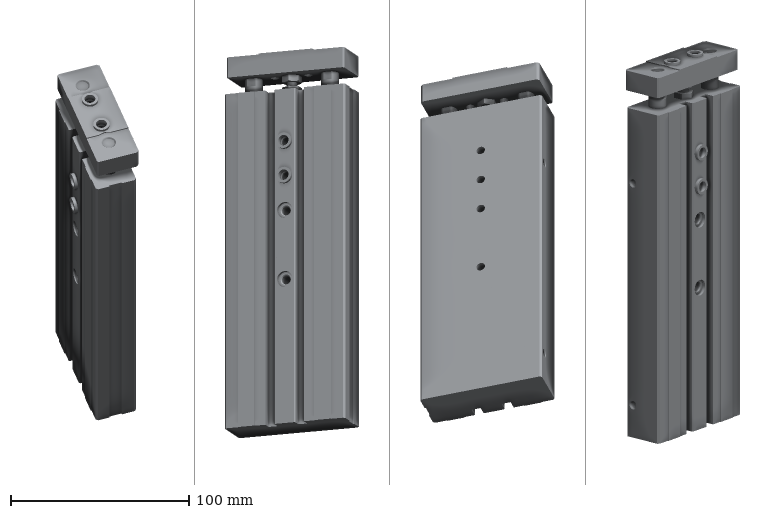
import cadquery as cq
import math


housing_width = 72.0
housing_depth = 23.8
housing_height = 193.2
side_x = housing_width / 2
back_y = housing_depth / 2
front_y = -housing_depth / 2
back_chamfer = 1.0
front_chamfer = 1.0

slot_inner_x = 6.3
slot_outer_x = 11.5
slot_depth = 5.5
strip_chamfer = 0.7

pad_width = 10.0
pad_height = 0.5

side_groove_width = 7.4
side_groove_depth = 0.7
side_groove_y = -0.5

first_mount_hole_z = 163.0
hole_pitch = 20.0
mount_hole_z = [first_mount_hole_z - step * hole_pitch for step in (0, 1, 2, 4)]
sleeved_hole_count = 2

port_z = (149.5, 19.0)
port_y = 7.0
port_diameter = 4.1
port_mouth_diameter = 5.0
port_depth = 3.3
port_tip_depth = 1.3

thread_diameter = 5.0
thread_mouth_diameter = 6.0
thread_mouth_chamfer = (thread_mouth_diameter - thread_diameter) / 2
sleeve_diameter = 9.0
sleeve_bore = 6.0
sleeve_length = 4.0
front_sleeve_protrusion = 2.0
top_sleeve_protrusion = 1.5
front_seat_depth = sleeve_length - front_sleeve_protrusion
top_seat_depth = sleeve_length - top_sleeve_protrusion

plate_width = 70.0
plate_back_y = 13.9
plate_front_y = -10.8
plate_bottom_z = 203.0
plate_top_z = 214.6
raised_top_z = 215.3
raised_width = 32.3
plate_back_chamfer = 1.3
plate_front_chamfer = 0.9
plate_sleeve_x = hole_pitch / 2

rod_x = 22.8
rod_diameter = 10.0
rod_insertion = 173.5
flat_spacing = 8.7
flat_bottom_z = 198.4
head_diameter = 15.0
head_height = 6.0
recess_diameter = 8.0
recess_floor_diameter = 6.7
recess_depth = 0.7

nut_flats = 10.0
nut_corners = nut_flats / math.cos(math.pi / 6)
screw_diameter = 6.0
upper_nut_height = 3.7
lower_nut_height = 3.3
nut_bevel = 0.7


def cylinder(diameter, height, x=0, y=0, z=0):
    """Vertical cylinder standing on height z."""
    return cq.Workplane("XY", origin=(x, y, z)).circle(diameter / 2).extrude(height)


def block(x_range, y_range, z_range):
    """Box between the given limits on each axis."""
    size = [high - low for low, high in (x_range, y_range, z_range)]
    low_corner = (x_range[0], y_range[0], z_range[0])
    return cq.Workplane("XY").box(*size, centered=False).translate(low_corner)


def sleeve_seat(seat_depth, thread_length):
    """Cutter along -Z from the origin: sleeve seat, countersunk mouth and thread bore."""
    return (
        cq.Workplane("XZ")
        .moveTo(0, 0)
        .lineTo(sleeve_diameter / 2, 0)
        .lineTo(sleeve_diameter / 2, -seat_depth)
        .lineTo(thread_mouth_diameter / 2, -seat_depth)
        .lineTo(thread_diameter / 2, -seat_depth - thread_mouth_chamfer)
        .lineTo(thread_diameter / 2, -thread_length)
        .lineTo(0, -thread_length)
        .close()
        .revolve(360, (0, 0), (0, 1))
    )


def facing_front(shape, z):
    """Turn a shape built along +Z so that it points to -Y on the housing's front face."""
    return shape.rotate((0, 0, 0), (1, 0, 0), 90).translate((0, front_y, z))


def housing_profile():
    half = [
        (slot_inner_x - strip_chamfer, front_y),
        (slot_inner_x, front_y + strip_chamfer),
        (slot_inner_x, front_y + slot_depth),
        (slot_outer_x, front_y + slot_depth),
        (slot_outer_x, front_y),
        (rod_x - pad_width / 2, front_y),
        (rod_x - pad_width / 2, front_y - pad_height),
        (rod_x + pad_width / 2, front_y - pad_height),
        (rod_x + pad_width / 2, front_y),
        (side_x - front_chamfer, front_y),
        (side_x, front_y + front_chamfer),
        (side_x, back_y - back_chamfer),
        (side_x - back_chamfer, back_y),
    ]
    mirrored = [(-x, y) for x, y in reversed(half)]
    return half + mirrored


def port_cutter(z):
    """Blind side port with a countersunk mouth and a conical bottom."""
    mouth_chamfer = (port_mouth_diameter - port_diameter) / 2
    return (
        cq.Workplane("XY", origin=(-side_x, port_y, z))
        .moveTo(0, 0)
        .lineTo(0, port_mouth_diameter / 2)
        .lineTo(mouth_chamfer, port_diameter / 2)
        .lineTo(port_depth, port_diameter / 2)
        .lineTo(port_depth + port_tip_depth, 0)
        .close()
        .revolve(360, (0, 0), (1, 0))
    )


def make_housing():
    body = cq.Workplane("XY").polyline(housing_profile()).close().extrude(housing_height)
    groove_y = (side_groove_y - side_groove_width / 2, side_groove_y + side_groove_width / 2)
    body = body.cut(block((side_x - side_groove_depth, side_x), groove_y, (0, housing_height)))
    for z in mount_hole_z:
        body = body.cut(facing_front(sleeve_seat(front_seat_depth, housing_depth), z))
    for z in port_z:
        body = body.cut(port_cutter(z))
    for x in (-rod_x, rod_x):
        body = body.cut(cylinder(rod_diameter, rod_insertion, x, 0, housing_height - rod_insertion))
    return body


def make_nut(bottom_z, height):
    """Hexagon with its corners towards +Y and -Y."""
    hexagon = cq.Workplane("XY", origin=(0, 0, bottom_z)).polygon(6, nut_corners).extrude(height)
    return hexagon.rotate((0, 0, 0), (0, 0, 1), 90)


def make_stop_screw():
    screw = cylinder(screw_diameter, plate_bottom_z - housing_height, 0, 0, housing_height)
    upper_bottom_z = plate_bottom_z - upper_nut_height
    bevel_cone = cylinder(nut_corners, upper_nut_height, 0, 0, upper_bottom_z).faces("<Z").chamfer(nut_bevel)
    upper_nut = make_nut(upper_bottom_z, upper_nut_height).intersect(bevel_cone)
    lower_nut = make_nut(housing_height, lower_nut_height)
    return screw.union(upper_nut).union(lower_nut)


def make_plate():
    """Yoke plate with its stop screw."""
    half_width = plate_width / 2
    y_range = (plate_front_y, plate_back_y)
    plate = block((-half_width, half_width), y_range, (plate_bottom_z, plate_top_z))
    plate = plate.edges("|Z and >Y").chamfer(plate_back_chamfer)
    plate = plate.edges("|Z and <Y").chamfer(plate_front_chamfer)
    plate = plate.union(block((-raised_width / 2, raised_width / 2), y_range, (plate_top_z, raised_top_z)))
    for x in (-plate_sleeve_x, plate_sleeve_x):
        seat = sleeve_seat(top_seat_depth, raised_top_z - plate_bottom_z)
        plate = plate.cut(seat.translate((x, 0, raised_top_z)))
    for x in (-rod_x, rod_x):
        plate = plate.cut(cylinder(rod_diameter, plate_top_z - plate_bottom_z, x, 0, plate_bottom_z))
        head_bottom_z = plate_top_z - head_height
        plate = plate.cut(cylinder(head_diameter, raised_top_z - head_bottom_z, x, 0, head_bottom_z))
    return plate.union(make_stop_screw())


def make_rod(x):
    """Guide rod with two wrench flats below the plate and a head inside it with a tapered recess."""
    bottom_z = housing_height - rod_insertion
    rod = cylinder(rod_diameter, plate_top_z - bottom_z, x, 0, bottom_z)
    radius = rod_diameter / 2
    for y_range in ((-radius, -flat_spacing / 2), (flat_spacing / 2, radius)):
        rod = rod.cut(block((x - radius, x + radius), y_range, (flat_bottom_z, plate_bottom_z)))
    rod = rod.union(cylinder(head_diameter, head_height, x, 0, plate_top_z - head_height))
    recess_floor = cq.Workplane("XY", origin=(x, 0, plate_top_z - recess_depth))
    recess = (
        recess_floor.circle(recess_floor_diameter / 2)
        .workplane(offset=recess_depth)
        .circle(recess_diameter / 2)
        .loft(ruled=True)
    )
    return rod.cut(recess)


def make_sleeve():
    """Centring sleeve standing on Z = 0."""
    return cylinder(sleeve_diameter, sleeve_length).cut(cylinder(sleeve_bore, sleeve_length))


housing = make_housing()
plate = make_plate()
rods = [make_rod(x) for x in (-rod_x, rod_x)]
front_sleeves = [
    facing_front(make_sleeve().translate((0, 0, -front_seat_depth)), z)
    for z in mount_hole_z[:sleeved_hole_count]
]
top_sleeves = [
    make_sleeve().translate((x, 0, raised_top_z - top_seat_depth))
    for x in (-plate_sleeve_x, plate_sleeve_x)
]

result = cq.Compound.makeCompound(
    [body.val() for body in [housing, plate, *rods, *front_sleeves, *top_sleeves]]
)